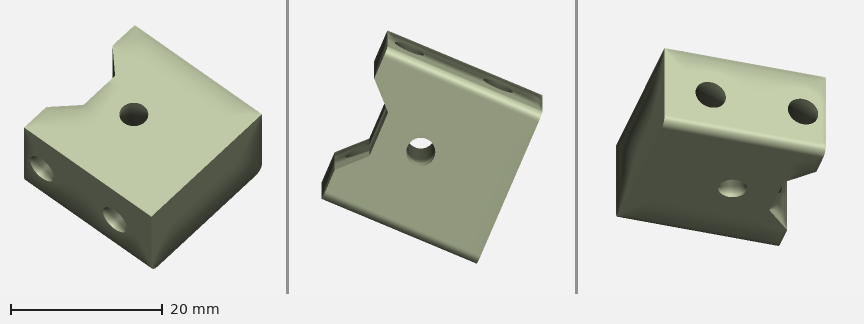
import cadquery as cq

side = 22.2
height = 12.37
bottom_edge_radius = 1.27

notch_floor_width = 6.35
notch_depth = 3.475
notch_mouth_width = notch_floor_width + 2 * notch_depth

hole_pitch = 6.35

cross_hole_diameter = 4.17
cross_hole_positions_x = (side - 3 * hole_pitch, side - hole_pitch)
cross_hole_z = height - hole_pitch

vertical_hole_diameter = 3.81
vertical_hole_x = side - 2 * hole_pitch


def make_block():
    """Square block with its two bottom edges along X rounded."""
    block = cq.Workplane("XY").box(side, side, height, centered=(False, True, False))
    return block.edges("|X and <Z").fillet(bottom_edge_radius)


def make_notch():
    """Full-height trapezoid, widest at the -X face."""
    return (
        cq.Workplane("XY")
        .moveTo(0, -notch_mouth_width / 2)
        .lineTo(notch_depth, -notch_floor_width / 2)
        .lineTo(notch_depth, notch_floor_width / 2)
        .lineTo(0, notch_mouth_width / 2)
        .close()
        .extrude(height)
    )


def make_cross_holes():
    """Cylinders along Y through the whole block."""
    centers = [(x, cross_hole_z) for x in cross_hole_positions_x]
    return (
        cq.Workplane("XZ", origin=(0, side / 2, 0))
        .pushPoints(centers)
        .circle(cross_hole_diameter / 2)
        .extrude(side)
    )


def make_vertical_hole():
    """Cylinder along Z through the whole block."""
    return (
        cq.Workplane("XY")
        .center(vertical_hole_x, 0)
        .circle(vertical_hole_diameter / 2)
        .extrude(height)
    )


result = (
    make_block()
    .cut(make_notch())
    .cut(make_cross_holes())
    .cut(make_vertical_hole())
)